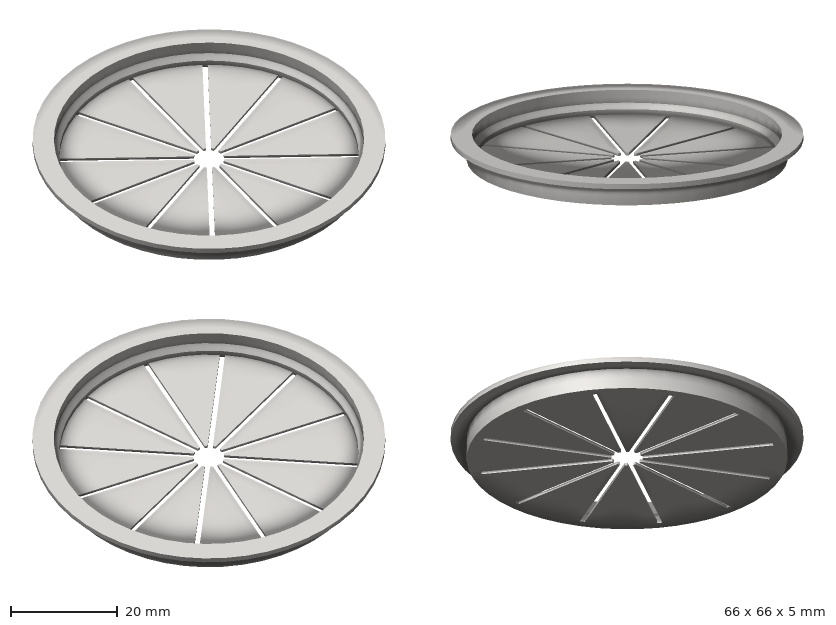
import cadquery as cq

flange_diameter = 66.0
flange_thickness = 1.0
body_diameter = 60.0
total_height = 5.0

recess_diameter = 58.0
floor_diameter = 56.0
floor_thickness = 0.5
lower_wall_height = 1.0
cone_height = 1.0

hole_diameter = 5.8
slot_count = 12
slot_width = 1.0


def disc(diameter, bottom, height):
    return cq.Workplane("XY").workplane(offset=bottom).circle(diameter / 2).extrude(height)


def recess():
    cone_bottom = floor_thickness + lower_wall_height
    cone_top = cone_bottom + cone_height
    lower = disc(floor_diameter, floor_thickness, lower_wall_height)
    cone = (
        cq.Workplane("XY")
        .workplane(offset=cone_bottom)
        .circle(floor_diameter / 2)
        .workplane(offset=cone_height)
        .circle(recess_diameter / 2)
        .loft(ruled=True)
    )
    upper = disc(recess_diameter, cone_top, total_height - cone_top)
    return lower.union(cone).union(upper)


def slots():
    """Radial slots whose outer ends follow the edge of the floor."""
    bars = cq.Workplane("XY")
    for index in range(slot_count // 2):
        bar = cq.Workplane("XY").box(
            floor_diameter, slot_width, floor_thickness, centered=(True, True, False)
        )
        bars = bars.add(bar.rotate((0, 0, 0), (0, 0, 1), index * 360 / slot_count))
    return bars.combine().intersect(disc(floor_diameter, 0, floor_thickness))


body = disc(body_diameter, 0, total_height)
flange = disc(flange_diameter, total_height - flange_thickness, flange_thickness)
center_hole = disc(hole_diameter, 0, floor_thickness)

result = body.union(flange).cut(recess()).cut(center_hole).cut(slots())